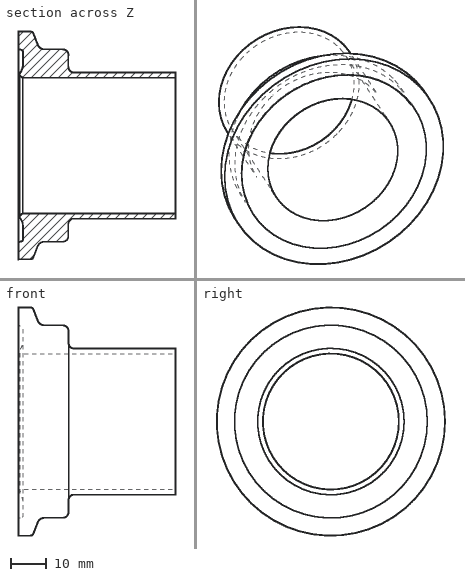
import cadquery as cq
import math

length = 44.0
flange_radius = 32.0
hub_radius = 54.0 / 2
tube_radius = 41.0 / 2
bore_radius = 38.0 / 2

rim_width = 3.4
back_angle = math.radians(22)
rim_round = 0.9
hub_start = 7.3
hub_root_fillet = 2.0
shoulder_x = 14.1
shoulder_round = 1.65
tube_root_fillet = 1.5

recess_radius = hub_radius
recess_wall_end_radius = 53.7 / 2
recess_depth = 1.3
recess_fillet = 0.6

lip_foot_radius = 23.3
lip_outer_radius = 20.4
lip_inner_radius = 19.45
lip_side_mid = (1.1, 21.7)
lip_outer_x = 0.5
lip_crest = (0.3, 20.0)
lip_inner_x = 0.6
bore_start = 1.2


def on_arc(x, r, radius, degrees):
    """Point of an arc about the centre (x, r) in the profile plane."""
    angle = math.radians(degrees)
    return (x + radius * math.cos(angle), r + radius * math.sin(angle))


slope_degrees = math.degrees(back_angle)
middle_degrees = (90 + slope_degrees) / 2
rim_centre = (rim_width, flange_radius - rim_round)
root_centre = (hub_start, hub_radius + hub_root_fillet)
shoulder_centre = (shoulder_x - shoulder_round, hub_radius - shoulder_round)
tube_root_centre = (shoulder_x + tube_root_fillet, tube_radius + tube_root_fillet)
recess_centre = (recess_depth - recess_fillet, recess_wall_end_radius - recess_fillet)

profile = (
    cq.Workplane("XY")
    .moveTo(0, recess_radius)
    .lineTo(0, flange_radius)
    .lineTo(rim_width, flange_radius)
    .threePointArc(
        on_arc(*rim_centre, rim_round, middle_degrees),
        on_arc(*rim_centre, rim_round, slope_degrees),
    )
    .lineTo(*on_arc(*root_centre, hub_root_fillet, 180 + slope_degrees))
    .threePointArc(
        on_arc(*root_centre, hub_root_fillet, 180 + middle_degrees),
        (hub_start, hub_radius),
    )
    .lineTo(shoulder_centre[0], hub_radius)
    .threePointArc(
        on_arc(*shoulder_centre, shoulder_round, 45),
        (shoulder_x, shoulder_centre[1]),
    )
    .lineTo(shoulder_x, tube_root_centre[1])
    .threePointArc(
        on_arc(*tube_root_centre, tube_root_fillet, 225),
        (tube_root_centre[0], tube_radius),
    )
    .lineTo(length, tube_radius)
    .lineTo(length, bore_radius)
    .lineTo(bore_start, bore_radius)
    .lineTo(lip_inner_x, lip_inner_radius)
    .threePointArc(lip_crest, (lip_outer_x, lip_outer_radius))
    .threePointArc(lip_side_mid, (recess_depth, lip_foot_radius))
    .lineTo(recess_depth, recess_centre[1])
    .threePointArc(
        on_arc(*recess_centre, recess_fillet, 45),
        (recess_centre[0], recess_wall_end_radius),
    )
    .close()
)

result = profile.revolve(360, (0, 0, 0), (1, 0, 0))